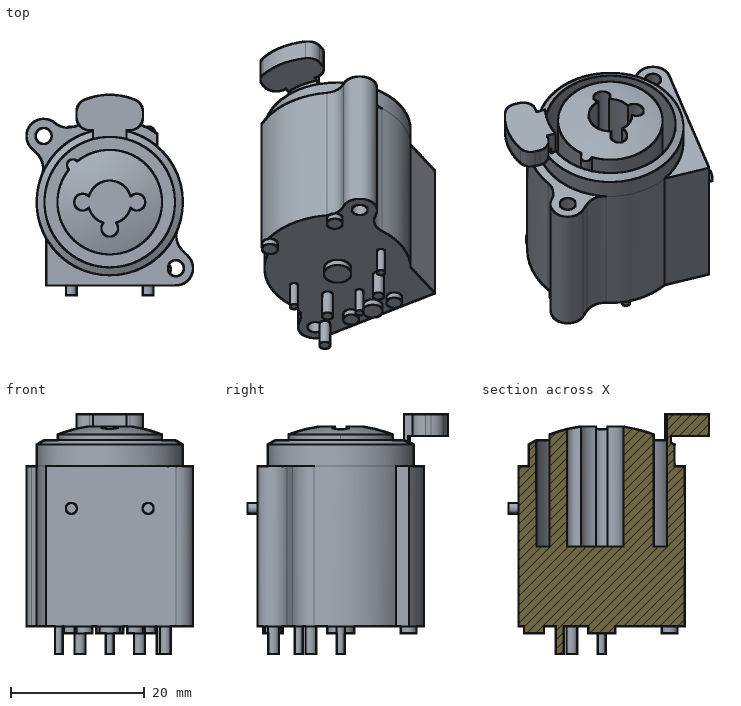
import cadquery as cq
import math


body_width = 25.0
body_half = body_width / 2
body_height = 24.0
left_side_x = -9.53
rear_flat_x = 7.15
lug_radius = 2.6
lug_angle = 135
lug_hole_diameter = 2.37
lug_offset = body_half - lug_radius
blend_radius = 3.02

seat_floor = body_height / 2
collar_radius = 10.95
collar_bore_radius = 9.78
collar_top = 27.95
collar_chamfer_height = 0.7
plug_radius = 7.85
plug_rim_height = 28.75
dome_height = 30.25
key_radius = 0.85
key_angle = 135

jack_radius = 3.25
contact_radius = 1.25
side_contact_x = 4.05
front_contact_y = -3.92

lever_top = 31.8
button_bottom = 28.5
button_back_y = 16.1
button_front_y = 10.8
button_half_width = 5.0
button_back_radius = 10.0
button_back_corner = 2.0
button_front_corner = 1.95
stem_half_width = 2.5
stem_outer_radius = 10.4

peg_radius = 0.83
peg_x = 5.75
peg_z = 17.7
peg_tip_y = -14.0

boss_length = 1.05
terminal_length = 4.15
thin_terminal_radius = 0.6
thick_terminal_radius = 0.83
thin_terminals = [(-7.62, 0), (7.62, 0), (0, -6.3)]
thick_terminals = [(-4.45, -4.45), (4.45, -4.45), (8.35, -10.05)]
socket_boss_radius = 2.05
front_boss_radius = 1.5
small_boss_radius = 1.2
front_boss_y = -10.15
front_side_boss_x = 3.77
rear_boss_x = 5.68
rear_boss_y = 10.17


def polar(center, radius, angle):
    """Point at a distance and an angle in degrees from a center."""
    a = math.radians(angle)
    return (center[0] + radius * math.cos(a), center[1] + radius * math.sin(a))


def add_arc(path, center, radius, start_angle, end_angle):
    """Continue a path along an arc that begins at the current point."""
    middle = polar(center, radius, (start_angle + end_angle) / 2)
    return path.threePointArc(middle, polar(center, radius, end_angle))


def cylinders(points, radius, bottom, top):
    """Equal vertical cylinders at several places."""
    plane = cq.Workplane("XY").workplane(offset=bottom)
    return plane.pushPoints(points).circle(radius).extrude(top - bottom)


axis = (0, 0)
left_lug = (-lug_offset, lug_offset)
right_lug = (lug_offset, -lug_offset)


def make_housing():
    flank_angle = lug_angle + 90

    flank_distance = lug_radius + blend_radius
    side_blend_distance = collar_radius + blend_radius
    side_blend_angle = flank_angle - math.degrees(math.acos(flank_distance / side_blend_distance))
    left_blend = polar(axis, side_blend_distance, side_blend_angle)
    right_blend = polar(axis, side_blend_distance, side_blend_angle - 180)

    rear_blend_distance = body_half + blend_radius
    lug_distance = math.hypot(*left_lug)
    squares = rear_blend_distance**2 + lug_distance**2 - flank_distance**2
    cosine = squares / (2 * rear_blend_distance * lug_distance)
    rear_blend_angle = lug_angle - math.degrees(math.acos(cosine))
    rear_blend = polar(axis, rear_blend_distance, rear_blend_angle)
    lug_to_blend = math.degrees(math.atan2(rear_blend[1] - left_lug[1], rear_blend[0] - left_lug[0]))

    collar_end = math.degrees(math.acos(rear_flat_x / collar_radius))
    rear_start = math.degrees(math.acos(rear_flat_x / body_half))
    left_end = 360 - math.degrees(math.acos(left_side_x / collar_radius))

    path = cq.Workplane("XY").moveTo(left_side_x, -body_half).lineTo(lug_offset, -body_half)
    path = add_arc(path, right_lug, lug_radius, -90, flank_angle - 180)
    path = path.lineTo(*polar(right_blend, blend_radius, flank_angle))
    path = add_arc(path, right_blend, blend_radius, flank_angle, side_blend_angle)
    path = add_arc(path, axis, collar_radius, side_blend_angle - 180, collar_end)
    path = path.lineTo(*polar(axis, body_half, rear_start))
    path = add_arc(path, axis, body_half, rear_start, rear_blend_angle)
    path = add_arc(path, rear_blend, blend_radius, rear_blend_angle + 180, lug_to_blend + 180)
    path = add_arc(path, left_lug, lug_radius, lug_to_blend, flank_angle)
    path = path.lineTo(*polar(left_blend, blend_radius, flank_angle - 180))
    path = add_arc(path, left_blend, blend_radius, flank_angle - 180, side_blend_angle - 180)
    path = add_arc(path, axis, collar_radius, side_blend_angle, left_end)
    housing = path.close().extrude(body_height)
    return housing.cut(cylinders([left_lug, right_lug], lug_hole_diameter / 2, 0, body_height))


def make_collar():
    section = [
        (0, body_height),
        (-collar_radius, body_height),
        (-collar_radius, collar_top - collar_chamfer_height),
        (-collar_bore_radius, collar_top),
        (0, collar_top),
    ]
    return cq.Workplane("YZ").polyline(section).close().revolve(360, (0, 0), (0, 1))


def make_plug():
    key_place = polar(axis, plug_radius, key_angle)
    plug = cylinders([axis], plug_radius, seat_floor, dome_height)
    plug = plug.union(cylinders([key_place], key_radius, seat_floor, dome_height))
    dome_rise = dome_height - plug_rim_height
    dome_radius = (plug_radius**2 + dome_rise**2) / (2 * dome_rise)
    dome = cq.Workplane("XY").sphere(dome_radius).translate((0, 0, dome_height - dome_radius))
    plug = plug.intersect(dome)

    contacts = [(-side_contact_x, 0), (side_contact_x, 0), (0, front_contact_y)]
    plug = plug.cut(cylinders([axis], jack_radius, seat_floor, dome_height))
    return plug.cut(cylinders(contacts, contact_radius, seat_floor, dome_height))


def make_lever():
    back_center = (0, button_back_y - button_back_radius)
    corner_x = button_half_width - button_back_corner
    corner_distance = button_back_radius - button_back_corner
    back_angle = math.degrees(math.acos(corner_x / corner_distance))
    right_corner = polar(back_center, corner_distance, back_angle)
    left_corner = (-corner_x, right_corner[1])
    front_corner_x = button_half_width - button_front_corner
    front_corner_y = button_front_y + button_front_corner

    path = cq.Workplane("XY").workplane(offset=button_bottom).moveTo(-front_corner_x, button_front_y)
    path = path.lineTo(front_corner_x, button_front_y)
    path = add_arc(path, (front_corner_x, front_corner_y), button_front_corner, -90, 0)
    path = path.lineTo(button_half_width, right_corner[1])
    path = add_arc(path, right_corner, button_back_corner, 0, back_angle)
    path = add_arc(path, back_center, button_back_radius, back_angle, 180 - back_angle)
    path = add_arc(path, left_corner, button_back_corner, 180 - back_angle, 180)
    path = path.lineTo(-button_half_width, front_corner_y)
    path = add_arc(path, (-front_corner_x, front_corner_y), button_front_corner, 180, 270)
    button = path.close().extrude(lever_top - button_bottom)

    def strip(bottom, back_y):
        return cq.Workplane("XY").box(
            2 * stem_half_width, back_y, lever_top - bottom, centered=(True, False, False)
        ).translate((0, 0, bottom))

    stem = strip(body_height, collar_radius).intersect(
        cylinders([axis], stem_outer_radius, body_height, lever_top))
    neck = strip(button_bottom, button_front_y)
    return button.union(stem).union(neck)


def make_pegs():
    pegs = cq.Workplane("XZ", origin=(0, -body_half, 0)).pushPoints([(-peg_x, peg_z), (peg_x, peg_z)])
    return pegs.circle(peg_radius).extrude(-body_half - peg_tip_y)


def make_underside():
    small_bosses = [(side * front_side_boss_x, front_boss_y) for side in (-1, 1)]
    small_bosses += [(side * rear_boss_x, rear_boss_y) for side in (-1, 1)]
    feet = cylinders([axis], socket_boss_radius, -boss_length, 0)
    feet = feet.union(cylinders([(0, front_boss_y)], front_boss_radius, -boss_length, 0))
    feet = feet.union(cylinders(small_bosses, small_boss_radius, -boss_length, 0))
    feet = feet.union(cylinders(thin_terminals, thin_terminal_radius, -terminal_length, 0))
    return feet.union(cylinders(thick_terminals, thick_terminal_radius, -terminal_length, 0))


result = make_housing().union(make_collar(), clean=False).union(make_lever(), clean=False)
result = result.cut(cylinders([axis], collar_bore_radius, seat_floor, lever_top), clean=False)
for feature in (make_plug(), make_pegs(), make_underside()):
    result = result.union(feature, clean=False)
result = result.solids()